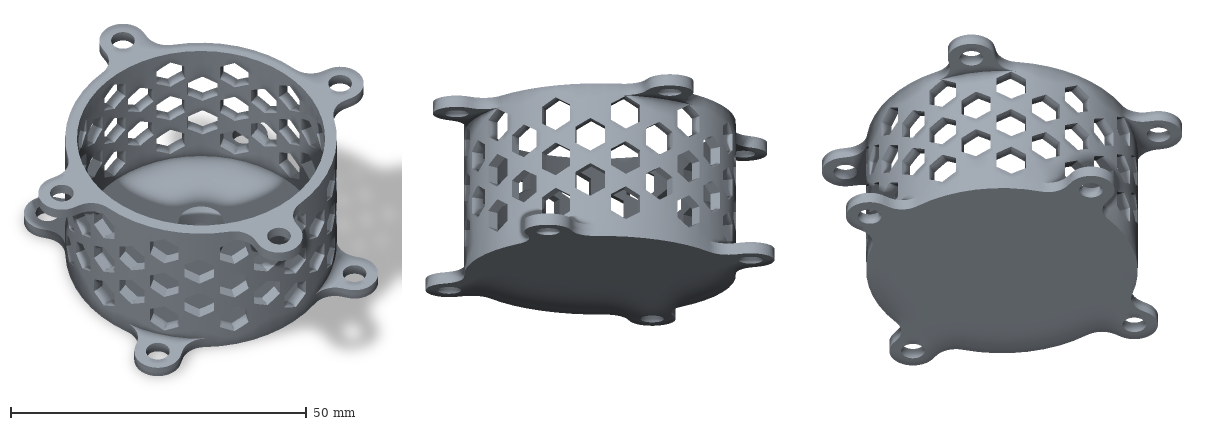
import cadquery as cq
import math

outer_diameter = 46.0
inner_diameter = 42.0
height = 27.0
floor_thickness = 2.0
outer_radius = outer_diameter / 2

ear_count = 4
ear_thickness = 2.0
ear_radius = 4.0
ear_fillet_radius = 4.0
ear_hole_diameter = 4.0
ear_hole_distance = 27.0
base_ear_angle = 0.0
rim_ear_angle = 45.0

window_sides = 6
window_across_flats = 5.0
windows_per_row = 12
window_row_count = 5
lowest_row_height = 6.0
row_spacing = 4.0
window_pitch_angle = 360.0 / windows_per_row
window_corner_diameter = window_across_flats / math.cos(math.pi / window_sides)

post_diameter = 7.6
post_top = 7.0
recess_bottom_diameter = 3.6
recess_depth = 2.0


def make_ear(angle, bottom):
    """Ear blended tangentially into the cup wall, pointing along the given angle."""
    blend_center_y = ear_radius + ear_fillet_radius
    blend_center_distance = outer_radius + ear_fillet_radius
    blend_center_x = math.sqrt(blend_center_distance**2 - blend_center_y**2)
    blend_angle = math.atan2(blend_center_y, blend_center_x)
    wall_x = outer_radius * math.cos(blend_angle)
    wall_y = outer_radius * math.sin(blend_angle)

    facing_axis_angle = blend_angle + math.pi
    facing_ear_angle = 1.5 * math.pi
    middle_angle = (facing_axis_angle + facing_ear_angle) / 2
    middle_x = blend_center_x + ear_fillet_radius * math.cos(middle_angle)
    middle_y = blend_center_y + ear_fillet_radius * math.sin(middle_angle)

    wall_middle_radius = (outer_diameter + inner_diameter) / 4
    root_x = wall_middle_radius * math.cos(blend_angle)
    root_y = wall_middle_radius * math.sin(blend_angle)

    ear = (
        cq.Workplane("XY")
        .moveTo(root_x, -root_y)
        .lineTo(wall_x, -wall_y)
        .threePointArc((middle_x, -middle_y), (blend_center_x, -ear_radius))
        .lineTo(ear_hole_distance, -ear_radius)
        .threePointArc((ear_hole_distance + ear_radius, 0), (ear_hole_distance, ear_radius))
        .lineTo(blend_center_x, ear_radius)
        .threePointArc((middle_x, middle_y), (wall_x, wall_y))
        .lineTo(root_x, root_y)
        .threePointArc((wall_middle_radius, 0), (root_x, -root_y))
        .close()
        .extrude(ear_thickness)
    )
    hole = (
        cq.Workplane("XY")
        .center(ear_hole_distance, 0)
        .circle(ear_hole_diameter / 2)
        .extrude(ear_thickness)
    )
    return ear.cut(hole).rotate((0, 0, 0), (0, 0, 1), angle).translate((0, 0, bottom))


def add_ears(body, first_angle, bottom):
    for index in range(ear_count):
        body = body.union(make_ear(first_angle + index * 360.0 / ear_count, bottom))
    return body


def make_cup():
    cup = cq.Workplane("XY").circle(outer_radius).extrude(height)
    cavity = (
        cq.Workplane("XY", origin=(0, 0, floor_thickness))
        .circle(inner_diameter / 2)
        .extrude(height - floor_thickness)
    )
    return cup.cut(cavity)


def cut_windows(body):
    prism = (
        cq.Workplane("YZ")
        .polygon(window_sides, window_corner_diameter)
        .extrude(outer_diameter)
        .rotate((0, 0, 0), (1, 0, 0), 90)
    )
    for row in range(window_row_count):
        row_height = lowest_row_height + row * row_spacing
        row_offset = (row % 2) * window_pitch_angle / 2
        for index in range(windows_per_row):
            angle = row_offset + index * window_pitch_angle
            window = prism.rotate((0, 0, 0), (0, 0, 1), angle).translate((0, 0, row_height))
            body = body.cut(window)
    return body


def make_post():
    post = cq.Workplane("XY").circle(post_diameter / 2).extrude(post_top)
    recess = (
        cq.Workplane("XY", origin=(0, 0, post_top - recess_depth))
        .circle(recess_bottom_diameter / 2)
        .workplane(offset=recess_depth)
        .circle(post_diameter / 2)
        .loft()
    )
    return post.cut(recess)


cup = cut_windows(make_cup())
cup = add_ears(cup, base_ear_angle, 0)
cup = add_ears(cup, rim_ear_angle, height - ear_thickness)
result = cup.union(make_post())